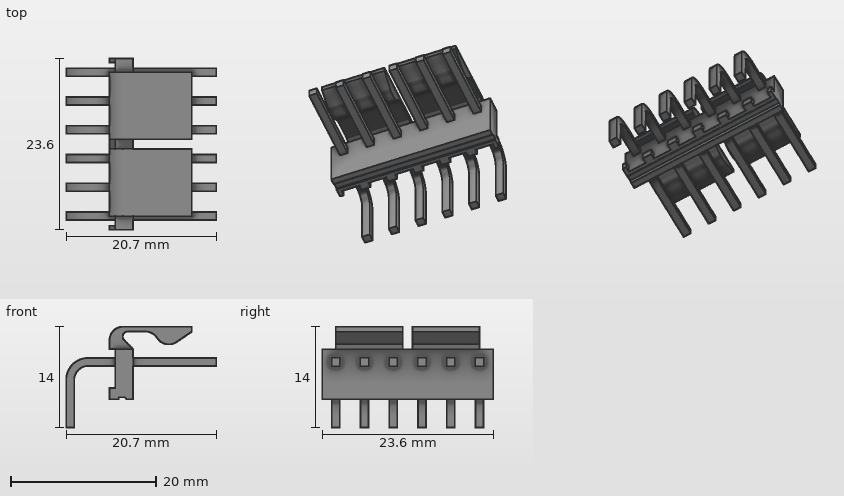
import cadquery as cq
import math


wafer_length = 23.62
wafer_thickness = 2.5
wafer_height = 6.95

groove_start = 0.55
groove_depth = 0.28
groove_roof_width = 0.8

pin_count = 6
pin_pitch = 3.97
pin_size = 1.13
pin_top = 5.75
pin_front = -6.75
pin_back = 13.95
pin_bottom = -3.9
pin_bend_radius = 3.05

standoff_depth = 0.78
standoff_height = 1.6
standoff_width = 1.32

tongue_count = 2
tongue_gap = 1.32
tongue_outer_edge = (pin_count - 1) / 2 * pin_pitch
tongue_width = tongue_outer_edge - tongue_gap / 2
tongue_top = 10.06
tongue_tip = 10.6
tongue_thickness = 0.7
tongue_bend_radius = 1.91
throat_radius = 0.68
catch_radius = tongue_bend_radius
catch_crest_x = 7.42
catch_drop = 1.77


def extrude_along_y(outline, width, middle):
    """Extrude a closed XZ outline by width, centred on Y = middle."""
    return outline.extrude(width / 2, both=True).translate((0, middle, 0))


def centred_positions(count, pitch):
    return [(i - (count - 1) / 2) * pitch for i in range(count)]


def point_on_circle(centre, radius, angle):
    """Point on a circle; the angle is in radians from +X towards +Z."""
    return (centre[0] + radius * math.cos(angle), centre[1] + radius * math.sin(angle))


def make_wafer():
    groove_end = groove_start + groove_roof_width
    outline = (
        cq.Workplane("XZ")
        .lineTo(groove_start, 0)
        .lineTo(groove_start, groove_depth)
        .lineTo(groove_end, groove_depth)
        .lineTo(groove_end + groove_depth, 0)
        .lineTo(wafer_thickness, 0)
        .lineTo(wafer_thickness, wafer_height)
        .lineTo(0, wafer_height)
        .close()
    )
    return extrude_along_y(outline, wafer_length, 0)


def make_standoff(middle):
    """Standoff block, cut off where it would pass the end of the wafer."""
    low = max(middle - standoff_width / 2, -wafer_length / 2)
    high = min(middle + standoff_width / 2, wafer_length / 2)
    outline = cq.Workplane("XZ").rect(-standoff_depth, standoff_height, centered=False)
    return extrude_along_y(outline, high - low, (low + high) / 2)


def make_pin(middle):
    inner_radius = pin_bend_radius - pin_size
    bend_x = pin_front + pin_bend_radius
    bend_z = pin_top - pin_bend_radius
    outline = (
        cq.Workplane("XZ")
        .moveTo(pin_front, pin_bottom)
        .lineTo(pin_front, bend_z)
        .radiusArc((bend_x, pin_top), pin_bend_radius)
        .lineTo(pin_back, pin_top)
        .lineTo(pin_back, pin_top - pin_size)
        .lineTo(bend_x, pin_top - pin_size)
        .radiusArc((bend_x - inner_radius, bend_z), -inner_radius)
        .lineTo(bend_x - inner_radius, pin_bottom)
        .close()
    )
    return extrude_along_y(outline, pin_size, middle)


def make_tongue(middle):
    front = -standoff_depth
    underside = tongue_top - tongue_thickness

    throat_z = underside - throat_radius
    slope_sum = wafer_thickness + wafer_height
    throat = (slope_sum + throat_radius * math.sqrt(2) - throat_z, throat_z)
    throat_slope_end = point_on_circle(throat, throat_radius, math.radians(225))
    throat_middle = point_on_circle(throat, throat_radius, math.radians(157.5))

    catch = (catch_crest_x, underside - catch_drop + catch_radius)
    shoulder_z = underside - catch_radius
    shoulder_offset = math.sqrt((2 * catch_radius) ** 2 - (catch[1] - shoulder_z) ** 2)
    shoulder_x = catch_crest_x - shoulder_offset
    inflection = ((shoulder_x + catch[0]) / 2, (shoulder_z + catch[1]) / 2)

    tip_dx = tongue_tip - catch[0]
    tip_dz = underside - catch[1]
    tangent_angle = math.atan2(tip_dz, tip_dx) - math.acos(catch_radius / math.hypot(tip_dx, tip_dz))
    lead_in_start = point_on_circle(catch, catch_radius, tangent_angle)

    outline = (
        cq.Workplane("XZ")
        .moveTo(front, wafer_height)
        .lineTo(front, tongue_top - tongue_bend_radius)
        .radiusArc((front + tongue_bend_radius, tongue_top), tongue_bend_radius)
        .lineTo(tongue_tip, tongue_top)
        .lineTo(tongue_tip, underside)
        .lineTo(*lead_in_start)
        .threePointArc((catch_crest_x, underside - catch_drop), inflection)
        .radiusArc((shoulder_x, underside), -catch_radius)
        .lineTo(throat[0], underside)
        .threePointArc(throat_middle, throat_slope_end)
        .lineTo(wafer_thickness, wafer_height)
        .close()
    )
    return extrude_along_y(outline, tongue_width, middle)


result = make_wafer()
for y in centred_positions(pin_count + 1, pin_pitch):
    result = result.union(make_standoff(y))
for y in centred_positions(pin_count, pin_pitch):
    result = result.union(make_pin(y))
for y in centred_positions(tongue_count, tongue_width + tongue_gap):
    result = result.union(make_tongue(y))